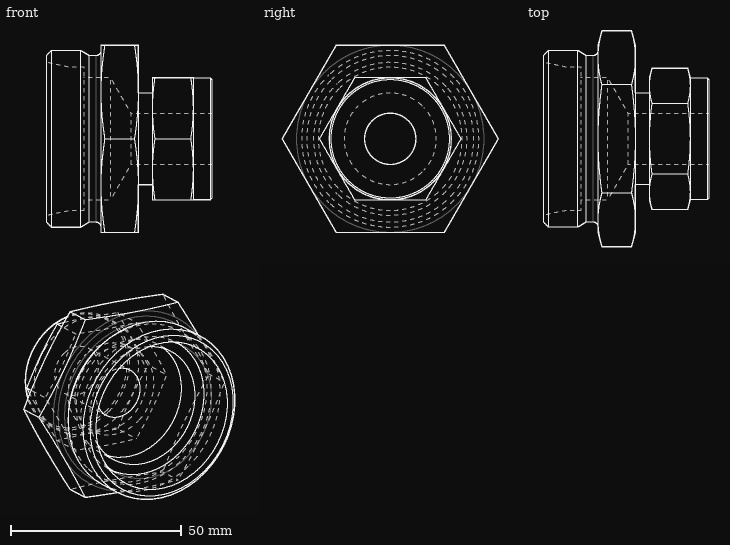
import cadquery as cq
import math

total_length = 48.6
thread_end = 10.05
groove_start = 12.5
body_hex_start = 16.0
body_hex_end = 27.0
nut_start = 31.1
nut_end = 43.1

thread_radius = 26.0
groove_radius = 24.5
thread_chamfer = thread_radius - groove_radius
groove_fillet = 1.4
body_hex_width = 55.0
neck_radius = 13.5
nut_hex_width = 36.0
collar_radius = 17.9
collar_chamfer = 0.5
hex_sides = 6
hex_chamfer_angle = 15.0

tube_seat_radius = 21.08
mouth_radius = 22.5
mouth_half_angle = 12.0
tube_seat_depth = 11.0
recess_radius = 18.0
recess_depth = 18.8
bore_radius = 7.5
funnel_half_angle = 60.0


def revolve_about_x(outline):
    """Revolve a closed outline, drawn as (x, radius), about the X axis."""
    return outline.close().revolve(360, (0, 0, 0), (1, 0, 0))


def chamfered_hexagon(start, end, width):
    """Hexagon along X with flats facing +Z and -Z and both ends turned to a cone."""
    flat_radius = width / 2
    corner_radius = flat_radius / math.cos(math.pi / hex_sides)
    corner_setback = (corner_radius - flat_radius) * math.tan(math.radians(hex_chamfer_angle))
    prism = (
        cq.Workplane("YZ")
        .workplane(offset=start)
        .polygon(hex_sides, 2 * corner_radius)
        .extrude(end - start)
    )
    envelope = revolve_about_x(
        cq.Workplane("XY")
        .moveTo(start, 0)
        .lineTo(start, flat_radius)
        .lineTo(start + corner_setback, corner_radius)
        .lineTo(end - corner_setback, corner_radius)
        .lineTo(end, flat_radius)
        .lineTo(end, 0)
    )
    return prism.intersect(envelope)


def turned_body():
    """Threaded spigot with its undercut, the neck and the end collar."""
    fillet_top_radius = groove_radius + groove_fillet
    return revolve_about_x(
        cq.Workplane("XY")
        .moveTo(0, 0)
        .lineTo(0, thread_radius - thread_chamfer)
        .lineTo(thread_chamfer, thread_radius)
        .lineTo(thread_end, thread_radius)
        .lineTo(groove_start, groove_radius)
        .lineTo(body_hex_start - groove_fillet, groove_radius)
        .radiusArc((body_hex_start, fillet_top_radius), -groove_fillet)
        .lineTo(body_hex_end, fillet_top_radius)
        .lineTo(body_hex_end, neck_radius)
        .lineTo(nut_start, neck_radius)
        .lineTo(nut_start, collar_radius)
        .lineTo(total_length - collar_chamfer, collar_radius)
        .lineTo(total_length, collar_radius - collar_chamfer)
        .lineTo(total_length, 0)
    )


def inner_passage():
    """Tapered mouth, tube seat, recess and funnel leading into the through bore."""
    mouth_depth = (mouth_radius - tube_seat_radius) / math.tan(math.radians(mouth_half_angle))
    funnel_length = (recess_radius - bore_radius) / math.tan(math.radians(funnel_half_angle))
    return revolve_about_x(
        cq.Workplane("XY")
        .moveTo(0, 0)
        .lineTo(0, mouth_radius)
        .lineTo(mouth_depth, tube_seat_radius)
        .lineTo(tube_seat_depth, tube_seat_radius)
        .lineTo(tube_seat_depth, recess_radius)
        .lineTo(recess_depth, recess_radius)
        .lineTo(recess_depth + funnel_length, bore_radius)
        .lineTo(total_length, bore_radius)
        .lineTo(total_length, 0)
    )


body_hexagon = chamfered_hexagon(body_hex_start, body_hex_end, body_hex_width)
nut_hexagon = chamfered_hexagon(nut_start, nut_end, nut_hex_width)
result = turned_body().union(body_hexagon).union(nut_hexagon).cut(inner_passage())